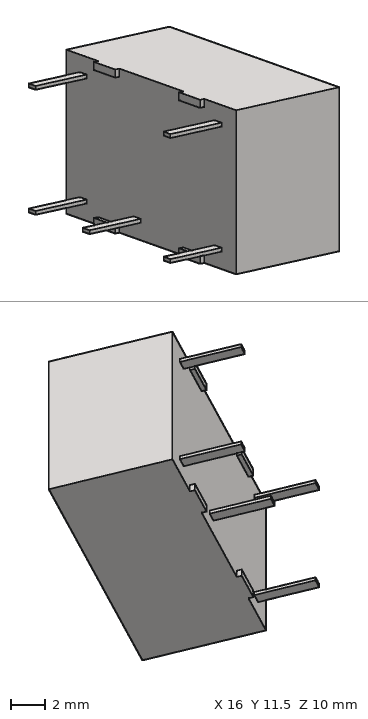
import cadquery as cq

length = 16.0
depth = 7.7
height = 10.0

foot_width = 2.0
foot_height = 0.5
foot_projection = 0.3
foot_spacing = 8.0

pin_width = 0.65
pin_thickness = 0.24
pin_length = 3.8
pin_row_spacing = 7.62
left_to_middle_pitch = 5.09
middle_to_right_pitch = 7.62
left_pin_x = -6.4
middle_pin_x = left_pin_x + left_to_middle_pitch
right_pin_x = middle_pin_x + middle_to_right_pitch


def front_bar(x, z, width, thickness, projection):
    """Rectangular bar centred at (x, z), projecting toward -Y from the front face."""
    bar = cq.Workplane("XY").box(width, projection, thickness, centered=(True, False, True))
    return bar.translate((x, -projection, z))


result = cq.Workplane("XY").box(length, depth, height, centered=(True, False, True))

foot_x = foot_spacing / 2
foot_z = (height - foot_height) / 2
for x in (-foot_x, foot_x):
    for z in (-foot_z, foot_z):
        result = result.union(front_bar(x, z, foot_width, foot_height, foot_projection))

upper_row_z = pin_row_spacing / 2
lower_row_z = -upper_row_z
pin_positions = [
    (left_pin_x, upper_row_z),
    (right_pin_x, upper_row_z),
    (left_pin_x, lower_row_z),
    (middle_pin_x, lower_row_z),
    (right_pin_x, lower_row_z),
]
for x, z in pin_positions:
    result = result.union(front_bar(x, z, pin_width, pin_thickness, pin_length))